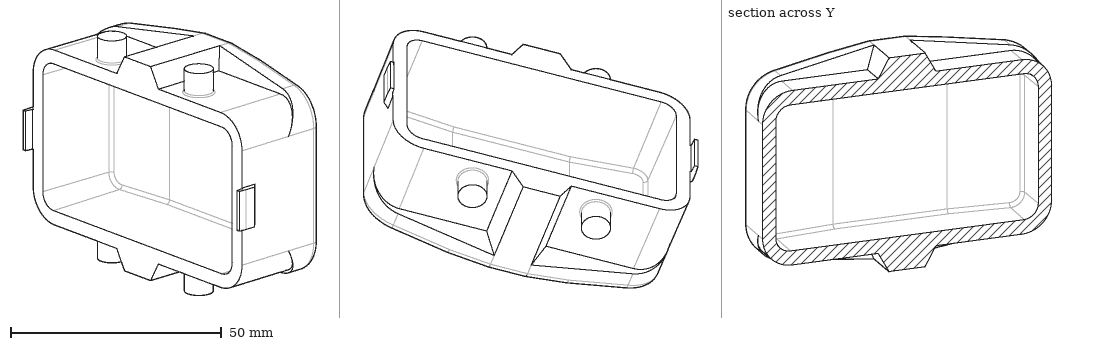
import cadquery as cq
import math

depth = 26.8
rim_half_width = 37.1
rim_half_height = 22.05
end_draft = 0.6
corner_reach = 7.6

peak_half_height = 27.0
peak_half_width = 4.6
ridge_foot_half_width = 7.4
step_start = 19.3
wall_overlap = 0.8
back_flat_half_width = 14.7
back_slope = 5.0
back_fillet = 2.0

recess_start = 20.65
recess_floor = 25.45
recess_half_height = 18.4
recess_corner_radius = 1.4
recess_wall_lean = 55.0

cavity_half_width = 33.6
cavity_half_height = 18.5
cavity_corner_radius = 3.8
cavity_draft = 0.75
floor_thickness = 3.55
floor_flat_half_width = 14.6
floor_fillet = 0.9

pin_x = 15.4
pin_y = 5.7
pin_radius = 3.5
pin_end = 28.0
pin_fillet = 0.4

clip_end = 38.55
clip_half_height = 5.0
clip_root_thickness = 1.2
clip_tip_thickness = 0.85
clip_tip_setback = 0.15
clip_overhang = 2.0
clip_shoulder = 2.6

edge_slope = math.atan2(peak_half_height - rim_half_height, rim_half_width - peak_half_width)
rim_corner_radius = corner_reach
outer_corner_radius = corner_reach / math.tan(math.pi / 4 - edge_slope / 2)
step_lean = (ridge_foot_half_width - peak_half_width) / (peak_half_height - rim_half_height)

tolerance = 0.0001

looking_in = cq.Plane(origin=(0, 0, 0), xDir=(1, 0, 0), normal=(0, 1, 0))


def symmetric_prism(quarter_points, length):
    """Prism along +Y; the outline is one quarter, ordered from the Z axis to the X axis, mirrored."""
    upper = quarter_points + [(x, -z) for x, z in reversed(quarter_points)]
    outline = upper + [(-x, z) for x, z in reversed(upper)]
    return cq.Workplane(looking_in).polyline(outline).close().extrude(length)


def end_envelope(back_depth, flat_half_width, half_width, draft):
    """Plan shape with drafted ends and a back that slopes away on both sides of a flat."""
    run = math.tan(math.radians(back_slope))
    narrowing = math.tan(math.radians(draft))
    end_y = (back_depth - run * (half_width - flat_half_width)) / (1 - run * narrowing)
    end_x = half_width - narrowing * end_y
    plan = [
        (-half_width, 0),
        (half_width, 0),
        (end_x, end_y),
        (flat_half_width, back_depth),
        (-flat_half_width, back_depth),
        (-end_x, end_y),
    ]
    return cq.Workplane("XY").polyline(plan).close().extrude(peak_half_height, both=True)


def back_outline_edges(solid):
    """Edges around the back faces, without the seams between those faces."""
    back_faces = [face for face in solid.faces().vals() if face.normalAt().y > 0.9]
    face_edges = [edge for face in back_faces for edge in face.Edges()]
    return [edge for edge in face_edges if sum(edge.isSame(other) for other in face_edges) == 1]


def rounded_body(quarter_points, length, radius):
    """Prism trimmed to the plan shape, with its four end corners rounded."""
    plan = end_envelope(depth, back_flat_half_width, rim_half_width, end_draft)
    solid = symmetric_prism(quarter_points, length).intersect(plan)
    ends = [face for face in solid.faces().vals() if abs(face.normalAt().x) > 0.9]
    corners = [edge for face in ends for edge in face.Edges() if abs(edge.tangentAt(0).y) > 0.9]
    return solid.newObject(corners).fillet(radius)


def raised_back_zone():
    """Everything behind the leaning step planes, above and below the middle."""
    middle_y = step_start - step_lean * rim_half_height
    peak_y = step_start + step_lean * (peak_half_height - rim_half_height)
    side = [
        (middle_y, 0),
        (peak_y, peak_half_height),
        (depth, peak_half_height),
        (depth, -peak_half_height),
        (peak_y, -peak_half_height),
    ]
    return cq.Workplane("YZ").polyline(side).close().extrude(rim_half_width, both=True)


def outer_shell():
    """Rim walls joined to the raised back and the central ridge."""
    peak = (peak_half_width, peak_half_height)
    corner = (rim_half_width, rim_half_height)
    full = rounded_body([peak, corner], depth, outer_corner_radius)
    quarter_box = cq.Workplane("XY").box(
        rim_half_width, depth, peak_half_height, centered=False
    )
    quarter = full.intersect(quarter_box)
    outline = [
        edge for edge in back_outline_edges(quarter)
        if edge.Center().x > tolerance and edge.Center().z > tolerance
    ]
    quarter = quarter.newObject(outline).fillet(back_fillet)
    half = quarter.union(quarter.mirror("XY"))
    full = half.union(half.mirror("YZ"))
    ridge = symmetric_prism([peak, (ridge_foot_half_width, rim_half_height)], depth)
    walls = rounded_body([corner], step_start + wall_overlap, rim_corner_radius)
    return walls.union(full.intersect(raised_back_zone().union(ridge)))


def cavity():
    """Drafted pocket whose floor follows the slopes of the back."""
    walls = (
        cq.Workplane(looking_in)
        .sketch()
        .rect(2 * cavity_half_width, 2 * cavity_half_height)
        .vertices()
        .fillet(cavity_corner_radius)
        .finalize()
        .extrude(depth, taper=cavity_draft)
    )
    plan = end_envelope(depth - floor_thickness, floor_flat_half_width, rim_half_width, 0)
    pocket = walls.intersect(plan)
    return pocket.newObject(back_outline_edges(pocket)).fillet(floor_fillet)


def back_recess():
    """Shallow recess in the -X slope of the back, with a level floor that runs out on the slope."""
    length = rim_half_width - recess_start
    return (
        cq.Workplane(looking_in)
        .workplane(offset=recess_floor)
        .center(-recess_start - length / 2, 0)
        .sketch()
        .rect(length, 2 * recess_half_height)
        .vertices()
        .fillet(recess_corner_radius)
        .finalize()
        .extrude(depth - recess_floor, taper=-recess_wall_lean)
    )


def pin():
    """Pin on the top wall at the origin of X and Y, rooted in the wall with a flared base."""
    root = (rim_half_height + cavity_half_height) / 2
    flare = pin_radius + pin_fillet
    bend = pin_fillet * math.sqrt(0.5)
    profile = (
        cq.Workplane("XZ")
        .moveTo(0, root)
        .lineTo(flare, root)
        .lineTo(flare, rim_half_height)
        .threePointArc((flare - bend, rim_half_height + pin_fillet - bend),
                       (pin_radius, rim_half_height + pin_fillet))
        .lineTo(pin_radius, pin_end)
        .lineTo(0, pin_end)
        .close()
    )
    return profile.revolve(360, (0, 0, 0), (0, 1, 0))


def clip():
    """Clip on the +X end wall, sloped at 45 degrees where it meets the wall."""
    root_x = (rim_half_width + cavity_half_width) / 2
    inner_x = clip_end - clip_root_thickness
    tip_x = clip_end - clip_tip_setback
    plan = [
        (root_x, 0),
        (inner_x, 0),
        (tip_x - clip_tip_thickness, -clip_overhang),
        (tip_x, -clip_overhang),
        (clip_end, 0),
        (clip_end, clip_shoulder),
        (root_x, clip_shoulder + clip_end - root_x),
    ]
    return cq.Workplane("XY").polyline(plan).close().extrude(clip_half_height, both=True)


result = outer_shell()
for side_x in (-pin_x, pin_x):
    upper_pin = pin().translate((side_x, pin_y, 0))
    result = result.union(upper_pin).union(upper_pin.mirror("XY"))
result = result.union(clip()).union(clip().mirror("YZ"))
result = result.cut(back_recess()).cut(back_recess().mirror("YZ"))
result = result.cut(cavity())